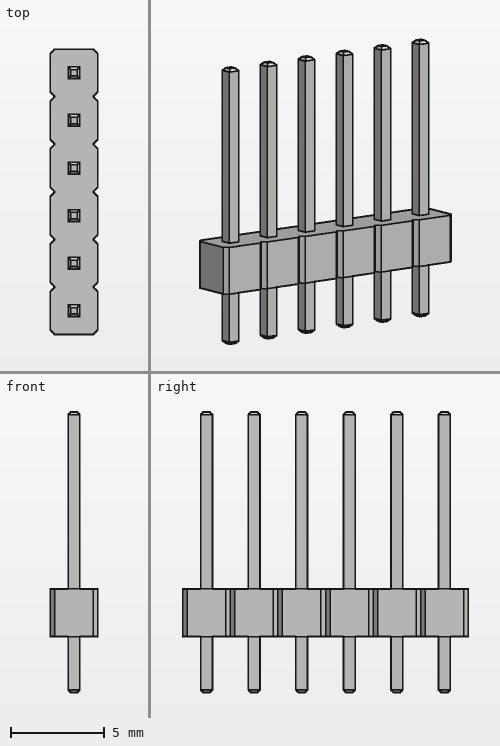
import cadquery as cq

pin_count = 6
row_length = 15.24
pitch = row_length / pin_count
housing_height = pitch
corner_bevel = 0.25

pin_width = 0.64
pin_length = 15.0
tail_length = 3.0
tip_bevel = 0.15

pin_bottom = -tail_length
pin_positions = [(i - (pin_count - 1) / 2) * pitch for i in range(pin_count)]


def make_cell(y):
    """One square housing cell centred at y."""
    return (
        cq.Workplane("XY", origin=(0, y, 0))
        .rect(pitch, pitch)
        .extrude(housing_height)
        .edges("|Z")
        .chamfer(corner_bevel)
    )


def make_pin(y):
    """One square pin centred at y, bevelled around both end faces."""
    return (
        cq.Workplane("XY", origin=(0, y, pin_bottom))
        .rect(pin_width, pin_width)
        .extrude(pin_length)
        .faces("<Z or >Z")
        .chamfer(tip_bevel)
    )


result = make_cell(pin_positions[0])
for position in pin_positions[1:]:
    result = result.union(make_cell(position))
for position in pin_positions:
    result = result.union(make_pin(position))